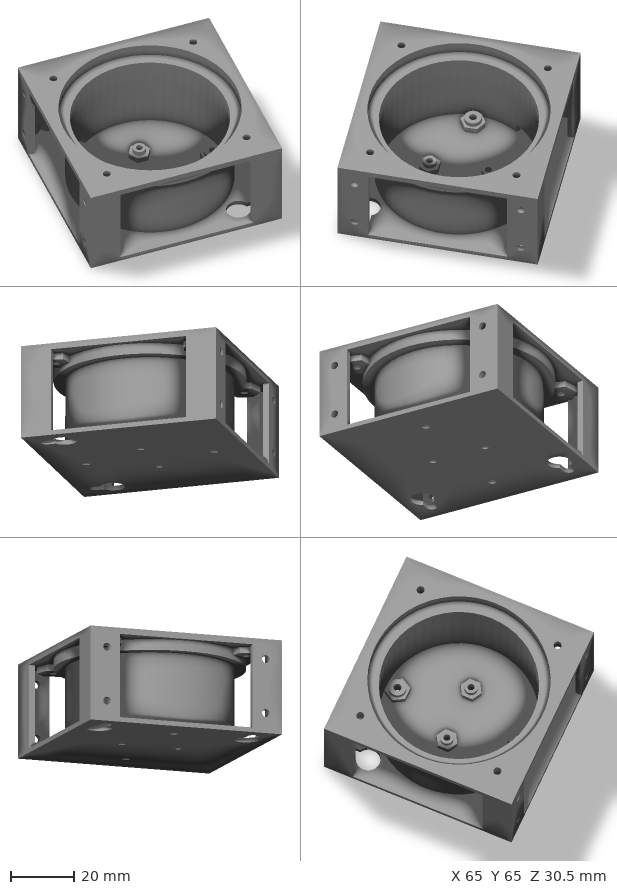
import cadquery as cq
import math

side = 65.0
height = 30.5
floor_thickness = 1.5
top_thickness = 2.0
wall_thickness = 2.0
window_width = 45.0

cup_inner_diameter = 50.8
cup_outer_diameter = 53.8
seat_inner_diameter = 58.2
seat_outer_diameter = 61.15
seat_depth = 4.0
seat_floor_thickness = 1.5

notch_width = 10.0
notch_height = 3.3

screw_hole_diameter = 2.55
corner_hole_spacing = 47.5
corner_boss_flats = 9.0
corner_boss_turn = 15

wall_hole_spacing_x = 53.95
wall_hole_spacing_z = 17.5

standoff_hex_height = 2.0
standoff_height = 3.5
large_standoff_spacing = 42.65
large_standoff_flats = 7.1
large_standoff_turn = 0
large_collar_diameter = 5.5
small_standoff_spacing = 19.05
small_standoff_flats = 6.25
small_standoff_turn = 30
small_collar_diameter = 4.2
small_hole_diameter = 2.2

keyhole_spacing = 50.05
keyhole_entry_y = 20.5
keyhole_entry_diameter = 7.8
keyhole_slot_width = 3.5
keyhole_slot_travel = 6.0

ceiling_z = height - top_thickness
seat_z = height - seat_depth
seat_underside_z = seat_z - seat_floor_thickness


def cylinder(diameter, z_low, z_high):
    """Upright cylinder on the Z axis."""
    return cq.Workplane("XY").workplane(offset=z_low).circle(diameter / 2).extrude(z_high - z_low)


def hexagon(flats, z_low, z_high, turn):
    """Upright hexagonal prism, 'flats' wide, with a corner pointing 'turn' degrees from +X."""
    corner_diameter = 2 * flats / math.sqrt(3)
    prism = (
        cq.Workplane("XY")
        .workplane(offset=z_low)
        .polygon(6, corner_diameter)
        .extrude(z_high - z_low)
    )
    return prism.rotate((0, 0, 0), (0, 0, 1), turn)


def block(size_x, size_y, z_low, z_high):
    """Upright box centred on the Z axis."""
    return cq.Workplane("XY").workplane(offset=z_low).rect(size_x, size_y).extrude(z_high - z_low)


def make_shell():
    """Box with a closed floor and top, and one window in each of the four walls."""
    inner_side = side - 2 * wall_thickness
    shell = block(side, side, 0, height)
    shell = shell.cut(block(inner_side, inner_side, floor_thickness, ceiling_z))
    shell = shell.cut(block(window_width, side, floor_thickness, ceiling_z))
    return shell.cut(block(side, window_width, floor_thickness, ceiling_z))


def add_corner_bosses(body):
    """Hexagonal bosses, each with one flat facing the cup."""
    for step in range(4):
        boss = hexagon(corner_boss_flats, seat_z, ceiling_z, corner_boss_turn)
        boss = boss.translate((corner_hole_spacing / 2, corner_hole_spacing / 2, 0))
        body = body.union(boss.rotate((0, 0, 0), (0, 0, 1), 90 * step))
    return body


def add_cup(body):
    """Thin-walled cup whose stepped seat opens through the top plate."""
    body = body.union(cylinder(cup_outer_diameter, floor_thickness, seat_z))
    body = body.union(cylinder(seat_outer_diameter, seat_underside_z, ceiling_z))
    body = body.cut(cylinder(seat_inner_diameter, seat_z, height))
    return body.cut(cylinder(cup_inner_diameter, floor_thickness, height))


def cut_cup_notch(body):
    notch = (
        cq.Workplane("XY")
        .workplane(offset=floor_thickness)
        .center(-cup_outer_diameter / 2, 0)
        .rect(cup_outer_diameter / 2, notch_width)
        .extrude(notch_height)
    )
    return body.cut(notch.rotate((0, 0, 0), (0, 0, 1), 45))


def cut_corner_holes(body):
    holes = (
        cq.Workplane("XY")
        .workplane(offset=seat_z)
        .rect(corner_hole_spacing, corner_hole_spacing, forConstruction=True)
        .vertices()
        .circle(screw_hole_diameter / 2)
        .extrude(seat_depth)
    )
    return body.cut(holes)


def cut_wall_holes(body):
    """Holes through the front and back walls only, leaving the cup whole."""
    for wall_back_y in (wall_thickness - side / 2, side / 2):
        holes = (
            cq.Workplane("XZ", origin=(0, wall_back_y, height / 2))
            .rect(wall_hole_spacing_x, wall_hole_spacing_z, forConstruction=True)
            .vertices()
            .circle(screw_hole_diameter / 2)
            .extrude(wall_thickness)
        )
        body = body.cut(holes)
    return body


def add_standoff(body, x, y, flats, turn, collar_diameter, hole_diameter):
    top_z = floor_thickness + standoff_height
    standoff = hexagon(flats, 0, floor_thickness + standoff_hex_height, turn)
    standoff = standoff.union(cylinder(collar_diameter, 0, top_z))
    body = body.union(standoff.translate((x, y, 0)))
    return body.cut(cylinder(hole_diameter, 0, top_z).translate((x, y, 0)))


def cut_keyhole(body, x):
    slot_end_y = keyhole_entry_y + keyhole_slot_travel
    slot_middle_y = keyhole_entry_y + keyhole_slot_travel / 2
    keyhole = cylinder(keyhole_entry_diameter, 0, floor_thickness).translate((x, keyhole_entry_y, 0))
    slot = block(keyhole_slot_width, keyhole_slot_travel, 0, floor_thickness)
    keyhole = keyhole.union(slot.translate((x, slot_middle_y, 0)))
    slot_end = cylinder(keyhole_slot_width, 0, floor_thickness)
    keyhole = keyhole.union(slot_end.translate((x, slot_end_y, 0)))
    return body.cut(keyhole)


result = add_cup(add_corner_bosses(make_shell()))
result = cut_cup_notch(result)
result = cut_corner_holes(result)
result = cut_wall_holes(result)
for direction in (-1, 1):
    result = add_standoff(
        result, 0, direction * large_standoff_spacing / 2,
        large_standoff_flats, large_standoff_turn,
        large_collar_diameter, screw_hole_diameter,
    )
    result = add_standoff(
        result, direction * small_standoff_spacing / 2, 0,
        small_standoff_flats, small_standoff_turn,
        small_collar_diameter, small_hole_diameter,
    )
    result = cut_keyhole(result, direction * keyhole_spacing / 2)